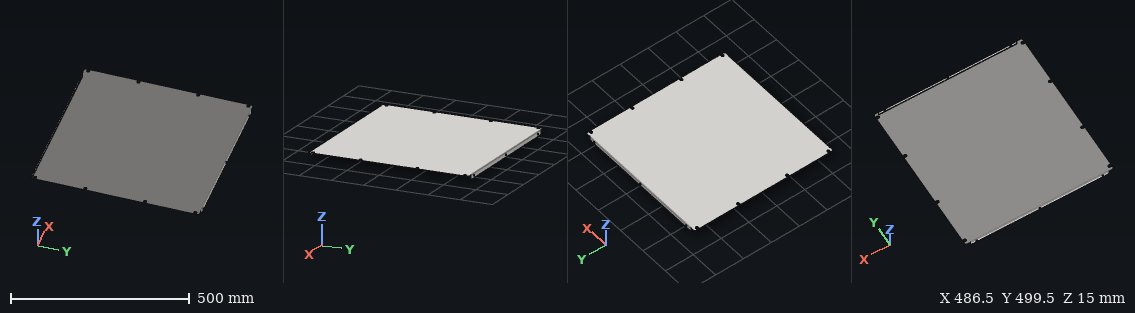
import cadquery as cq

length_x = 486.5
length_y = 499.5
height = 15.0
thickness = 1.0
corner_radius = 7.5

flange_length = 452.5
flange_corner_radius = 5.0
bend_inner_radius = 0.25
bend_outer_radius = bend_inner_radius + thickness

hole_diameter = 4.2
hole_pitch = 206.0
hole_depth_below_top = 7.5

slot_width = 7.0
slot_depth = 11.0
inner_slot_y = 88.0
outer_slot_y = 236.0


def make_plate():
    """Flat panel with rounded corners, its top face at Z = height."""
    plate = cq.Workplane("XY").box(length_x, length_y, thickness, centered=(True, True, False))
    return plate.edges("|Z").fillet(corner_radius).translate((0, 0, height - thickness))


def make_channel():
    """Shallow inverted channel that forms both flanges and their bends."""
    outer = cq.Workplane("XY").box(flange_length, length_y, height, centered=(True, True, False))
    outer = outer.edges("|X and >Z").fillet(bend_outer_radius)
    inner_width = length_y - 2 * thickness
    inner_height = height - thickness
    inner = cq.Workplane("XY").box(flange_length, inner_width, inner_height, centered=(True, True, False))
    inner = inner.edges("|X and >Z").fillet(bend_inner_radius)
    return outer.cut(inner).edges("|Y and <Z").fillet(flange_corner_radius)


def make_bend_clearance():
    """Strips of plate edge removed where the bends replace the flat sheet."""
    return (
        cq.Workplane("XY")
        .pushPoints([(0, side * (length_y - bend_outer_radius) / 2) for side in (-1, 1)])
        .rect(flange_length, bend_outer_radius)
        .extrude(height)
    )


def make_flange_holes():
    """Cylinders along Y that pierce both flanges."""
    hole_z = height - hole_depth_below_top
    return (
        cq.Workplane("XZ")
        .pushPoints([(x, hole_z) for x in (-hole_pitch, 0, hole_pitch)])
        .circle(hole_diameter / 2)
        .extrude(length_y / 2, both=True)
    )


def make_edge_slots():
    """Round-ended slot cutters centred on the X edges, so half of each lies in the plate."""
    slot_places = [
        (side * length_x / 2, y)
        for side in (-1, 1)
        for y in (-outer_slot_y, -inner_slot_y, inner_slot_y, outer_slot_y)
    ]
    return cq.Workplane("XY").pushPoints(slot_places).slot2D(2 * slot_depth, slot_width).extrude(height)


plate = make_plate().cut(make_bend_clearance())
result = plate.union(make_channel()).cut(make_flange_holes()).cut(make_edge_slots())